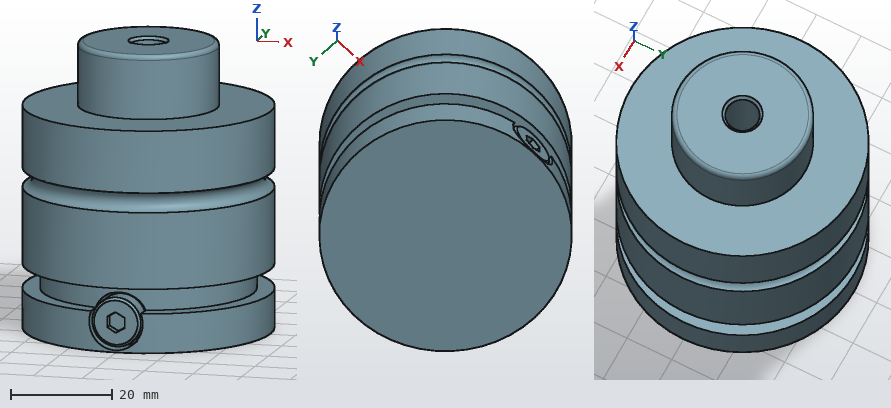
import cadquery as cq
import math

total_height = 58.0
body_diameter = 50.0
shoulder_height = 45.0
spigot_diameter = 28.0
spigot_edge_radius = 1.0

ring_groove_height = 30.45
ring_groove_radius = 2.0
ring_groove_depth = 2.1

flange_height = 8.0
neck_top = 13.0
neck_diameter = 43.0

hole_diameter = 6.8
hole_mouth_diameter = 8.0
hole_depth = 17.4
drill_point_angle = 118.0

screw_height = 6.0
screw_hole_diameter = 11.0
screw_hole_floor = 20.0
screw_head_diameter = 10.0
screw_head_recess = 0.5
screw_edge_chamfer = 0.5
socket_across_flats = 3.6
socket_depth = 1.85

body_radius = body_diameter / 2
screw_face = body_radius - screw_head_recess


def cylinder(diameter, bottom, top):
    return cq.Workplane("XY").workplane(offset=bottom).circle(diameter / 2).extrude(top - bottom)


def toward_front(distance):
    """Workplane facing -Y at a distance from the body axis, centred on the screw."""
    return cq.Workplane("XZ", origin=(0, -distance, screw_height))


def make_body():
    body = cylinder(body_diameter, 0, shoulder_height)
    neck_cut = cylinder(body_diameter, flange_height, neck_top).cut(
        cylinder(neck_diameter, flange_height, neck_top)
    )
    spigot = cylinder(spigot_diameter, shoulder_height, total_height)
    spigot = spigot.faces(">Z").edges().fillet(spigot_edge_radius)
    return body.cut(neck_cut).union(spigot)


def make_ring_groove():
    root = body_radius - ring_groove_depth
    arc_centre = root + ring_groove_radius
    lower = ring_groove_height - ring_groove_radius
    upper = ring_groove_height + ring_groove_radius
    return (
        cq.Workplane("XZ")
        .moveTo(body_radius, lower)
        .lineTo(arc_centre, lower)
        .threePointArc((root, ring_groove_height), (arc_centre, upper))
        .lineTo(body_radius, upper)
        .close()
        .revolve(360, (0, 0, 0), (0, 1, 0))
    )


def make_tapped_hole():
    hole_radius = hole_diameter / 2
    mouth_radius = hole_mouth_diameter / 2
    point_length = hole_radius / math.tan(math.radians(drill_point_angle / 2))
    floor = total_height - hole_depth
    mouth_depth = mouth_radius - hole_radius
    return (
        cq.Workplane("XZ")
        .moveTo(0, total_height)
        .lineTo(mouth_radius, total_height)
        .lineTo(hole_radius, total_height - mouth_depth)
        .lineTo(hole_radius, floor)
        .lineTo(0, floor - point_length)
        .close()
        .revolve(360, (0, 0, 0), (0, 1, 0))
    )


def make_screw_hole():
    return toward_front(screw_hole_floor).circle(screw_hole_diameter / 2).extrude(body_radius - screw_hole_floor)


def make_screw():
    head = toward_front(screw_hole_floor).circle(screw_head_diameter / 2).extrude(screw_face - screw_hole_floor)
    head = head.faces("<Y").edges().chamfer(screw_edge_chamfer)
    across_corners = socket_across_flats / math.cos(math.pi / 6)
    socket = (
        toward_front(screw_face - socket_depth)
        .transformed(rotate=(0, 0, 90))
        .polygon(6, across_corners)
        .extrude(socket_depth)
    )
    return head.cut(socket)


result = (
    make_body()
    .cut(make_ring_groove())
    .cut(make_tapped_hole())
    .cut(make_screw_hole())
    .union(make_screw())
)